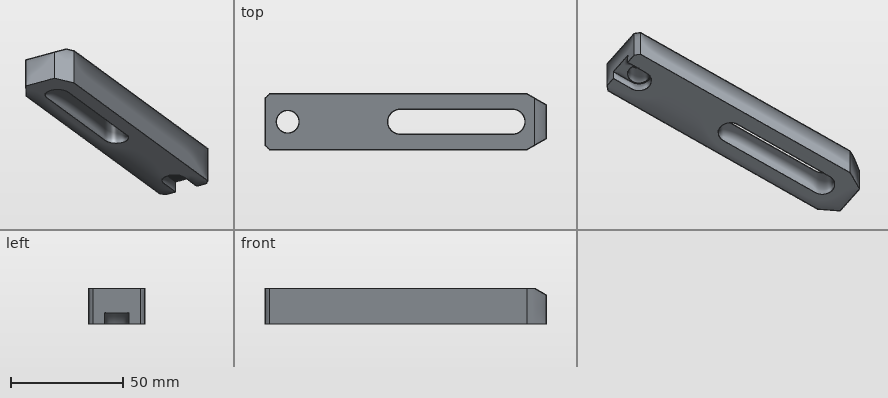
import math

import cadquery as cq

LENGTH = 125.0
WIDTH = 25.0
HEIGHT = 16.0

HEEL_CHAMFER = 2.0
HEEL_HOLE_DIAMETER = 10.0
HEEL_HOLE_X = 10.0

NOSE_ANGLE = math.radians(30)
NOSE_WIDTH = 15.0
NOSE_TOP_DROP = 3.0

SLOT_WIDTH = 11.0
SLOT_START_X = 54.5
SLOT_END_X = 115.5
GROOVE_DEPTH = 5.0


def make_bar():
    """Flat bar with chamfered heel corners and a nose tapered in plan."""
    half_width = WIDTH / 2
    half_nose = NOSE_WIDTH / 2
    taper_start_x = LENGTH - (half_width - half_nose) / math.tan(NOSE_ANGLE)
    outline = [
        (0, half_width - HEEL_CHAMFER),
        (HEEL_CHAMFER, half_width),
        (taper_start_x, half_width),
        (LENGTH, half_nose),
    ]
    mirrored = [(x, -y) for x, y in reversed(outline)]
    return cq.Workplane("XY").polyline(outline + mirrored).close().extrude(HEIGHT)


def make_nose_bevel():
    """Wedge removed from the top edge of the nose."""
    bevel_length = NOSE_TOP_DROP / math.tan(NOSE_ANGLE)
    return (
        cq.Workplane("XZ")
        .moveTo(LENGTH - bevel_length, HEIGHT)
        .lineTo(LENGTH, HEIGHT)
        .lineTo(LENGTH, HEIGHT - NOSE_TOP_DROP)
        .close()
        .extrude(WIDTH / 2, both=True)
    )


def make_heel_hole():
    """Round hole through the full height of the heel."""
    return cq.Workplane("XY").center(HEEL_HOLE_X, 0).circle(HEEL_HOLE_DIAMETER / 2).extrude(HEIGHT)


def make_slot():
    """Long round-ended slot through the full height."""
    center_x = (SLOT_START_X + SLOT_END_X) / 2
    slot_length = SLOT_END_X - SLOT_START_X
    return cq.Workplane("XY").center(center_x, 0).slot2D(slot_length, SLOT_WIDTH).extrude(HEIGHT)


def make_heel_groove():
    """Underside groove, open at the heel, with a round end concentric with the heel hole."""
    radius = SLOT_WIDTH / 2
    return (
        cq.Workplane("XY")
        .moveTo(0, -radius)
        .lineTo(HEEL_HOLE_X, -radius)
        .threePointArc((HEEL_HOLE_X + radius, 0), (HEEL_HOLE_X, radius))
        .lineTo(0, radius)
        .close()
        .extrude(GROOVE_DEPTH)
    )


result = (
    make_bar()
    .cut(make_nose_bevel())
    .cut(make_heel_hole())
    .cut(make_slot())
    .cut(make_heel_groove())
)